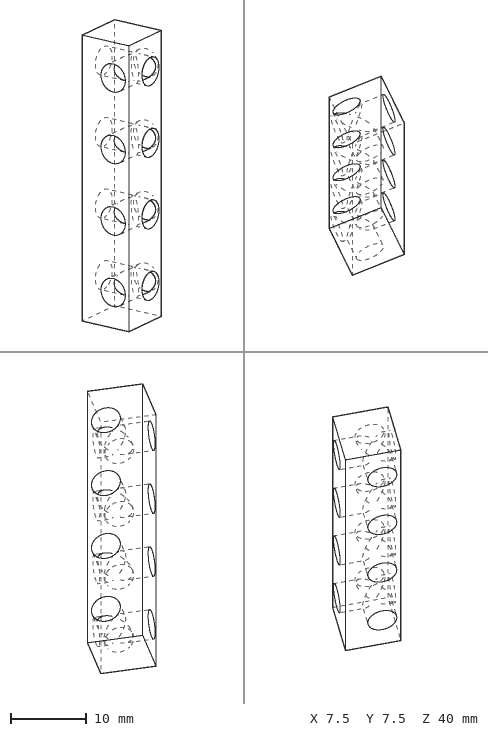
import cadquery as cq

bar_length = 40.0
bar_side = 7.5

hole_count = 4
hole_diameter = 3.9
hole_pitch = bar_length / hole_count
end_distance = hole_pitch / 2
edge_distance = 5.0

hole_heights = [end_distance + i * hole_pitch for i in range(hole_count)]


def hole_row(start_points, direction):
    """Cylinders through the full bar width, one from each start point."""
    row = cq.Workplane("XY")
    for point in start_points:
        hole = cq.Solid.makeCylinder(
            hole_diameter / 2, bar_side, cq.Vector(*point), cq.Vector(*direction)
        )
        row = row.add(hole)
    return row.combine()


bar = cq.Workplane("XY").box(bar_side, bar_side, bar_length, centered=False)
holes_along_x = hole_row([(0, edge_distance, z) for z in hole_heights], (1, 0, 0))
holes_along_y = hole_row([(edge_distance, 0, z) for z in hole_heights], (0, 1, 0))

result = bar.cut(holes_along_x).cut(holes_along_y)